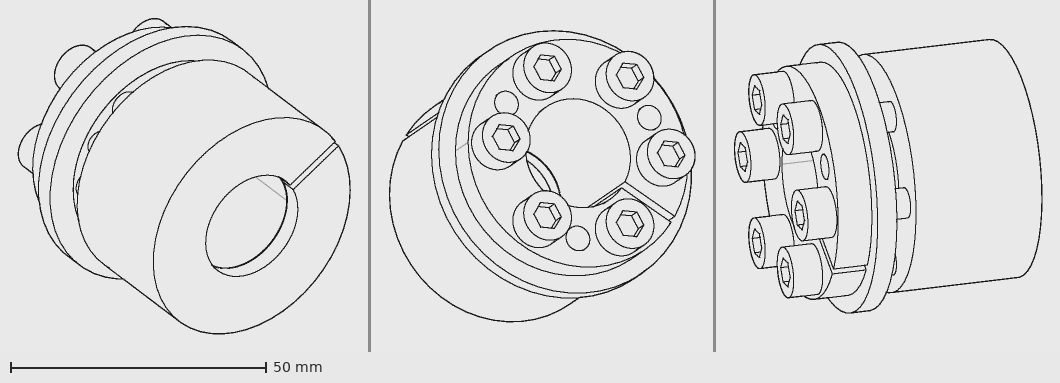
import cadquery as cq
import math


FLANGE_THICKNESS = 7.0
SPACER_WIDTH = 4.0
RING_GAP = 5.0
OUTER_LENGTH = 26.1
TAPER_DEPTH = 22.25
SPACER_END = FLANGE_THICKNESS + SPACER_WIDTH
OUTER_START = SPACER_END + RING_GAP
SLEEVE_END = OUTER_START + TAPER_DEPTH
TOTAL_END = OUTER_START + OUTER_LENGTH

SPACER_DIAMETER = 53.0
FLANGE_DIAMETER = 46.0
SPIGOT_DIAMETER = 42.0
OUTER_DIAMETER = 47.0
BORE_DIAMETER = 22.0
TAPER_START_RADIUS = 13.55
TAPER_HALF_ANGLE = 5.0

SLIT_WIDTH = 1.5
OUTER_SLIT_ANGLE = 30.0
INNER_SLIT_ANGLE = OUTER_SLIT_ANGLE + 180.0

PITCH_RADIUS = 17.3
SCREW_COUNT = 6
SCREW_DIAMETER = 6.0
HEAD_DIAMETER = 10.0
HEAD_HEIGHT = 6.0
SOCKET_WIDTH = 5.0
SOCKET_DEPTH = 3.0
THREAD_REACH = 9.0
SCREW_END = OUTER_START + THREAD_REACH
EXTRACTION_HOLE_COUNT = 3
EXTRACTION_HOLE_DIAMETER = 5.0
EXTRACTION_START_ANGLE = 30.0


def cylinder(diameter, x_start, x_end, y=0.0, z=0.0):
    """Cylinder parallel to X, centred at (y, z)."""
    return cq.Workplane("YZ", origin=(x_start, y, z)).circle(diameter / 2).extrude(x_end - x_start)


def pitch_points(count, start_angle):
    """Evenly spaced (y, z) points on the pitch circle."""
    angles = [math.radians(start_angle + 360.0 * i / count) for i in range(count)]
    return [(PITCH_RADIUS * math.cos(a), PITCH_RADIUS * math.sin(a)) for a in angles]


def slit_cutter(angle):
    """Slab reaching from the axis outwards at an angle from +Y towards +Z, over the full length."""
    slab = cq.Workplane("XY").box(TOTAL_END, SPACER_DIAMETER, SLIT_WIDTH, centered=(False, False, True))
    return slab.rotate((0, 0, 0), (1, 0, 0), angle)


def taper_cone():
    """Tapered body shared by the inner ring and the seat in the outer ring."""
    length = SLEEVE_END - SPACER_END
    end_radius = TAPER_START_RADIUS - length * math.tan(math.radians(TAPER_HALF_ANGLE))
    profile = [
        (SPACER_END, 0),
        (SPACER_END, TAPER_START_RADIUS),
        (SLEEVE_END, end_radius),
        (SLEEVE_END, 0),
    ]
    return cq.Workplane("XY").polyline(profile).close().revolve(360, (0, 0, 0), (1, 0, 0))


SCREW_POINTS = pitch_points(SCREW_COUNT, 0.0)
EXTRACTION_POINTS = pitch_points(EXTRACTION_HOLE_COUNT, EXTRACTION_START_ANGLE)


def cut_screw_holes(body):
    for y, z in SCREW_POINTS:
        body = body.cut(cylinder(SCREW_DIAMETER, 0, SCREW_END, y, z))
    return body


def make_inner_ring():
    body = cylinder(FLANGE_DIAMETER, 0, FLANGE_THICKNESS)
    body = body.union(cylinder(SPIGOT_DIAMETER, FLANGE_THICKNESS, SPACER_END))
    body = body.union(taper_cone())
    body = body.cut(cylinder(BORE_DIAMETER, 0, SLEEVE_END))
    body = cut_screw_holes(body)
    for y, z in EXTRACTION_POINTS:
        body = body.cut(cylinder(EXTRACTION_HOLE_DIAMETER, 0, SPACER_END, y, z))
    return body.cut(slit_cutter(INNER_SLIT_ANGLE))


def make_spacer_ring():
    body = cylinder(SPACER_DIAMETER, FLANGE_THICKNESS, SPACER_END)
    return body.cut(cylinder(SPIGOT_DIAMETER, FLANGE_THICKNESS, SPACER_END))


def make_outer_ring():
    """Outer ring with the tapered seat; past the seat it continues at the bore diameter."""
    body = cylinder(OUTER_DIAMETER, OUTER_START, TOTAL_END)
    body = body.cut(taper_cone())
    body = body.cut(cylinder(BORE_DIAMETER, OUTER_START, TOTAL_END))
    body = cut_screw_holes(body)
    return body.cut(slit_cutter(OUTER_SLIT_ANGLE))


def make_screw(y, z):
    """Screw with a hexagon socket whose corners point along Y."""
    body = cylinder(HEAD_DIAMETER, -HEAD_HEIGHT, 0, y, z)
    body = body.union(cylinder(SCREW_DIAMETER, 0, SCREW_END, y, z))
    across_corners = SOCKET_WIDTH / math.cos(math.radians(30))
    socket = cq.Workplane("YZ", origin=(-HEAD_HEIGHT, y, z)).polygon(6, across_corners).extrude(SOCKET_DEPTH)
    return body.cut(socket)


inner_ring = make_inner_ring()
spacer_ring = make_spacer_ring()
outer_ring = make_outer_ring()
screws = [make_screw(y, z).val() for y, z in SCREW_POINTS]

result = cq.Compound.makeCompound([inner_ring.val(), spacer_ring.val(), outer_ring.val(), *screws])